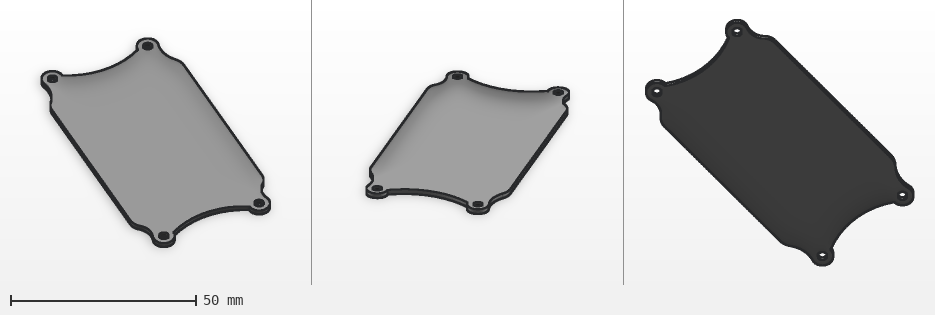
import cadquery as cq
import math

length = 74.0
width = 39.7
thickness = 1.5
waist_length = 62.0

ear_radius = 2.95
ear_y = 14.35
hole_diameter = 2.5
ear_x = length / 2 - ear_radius

left_edge_end = 22.9
left_shoulder_radius = 5.0
left_neck_radius = 8.0
right_edge_end = 24.7
right_shoulder_radius = 4.0
right_neck_radius = 5.0


def point_towards(start, target, distance):
    """Point at the given distance from start, on the line to target."""
    ratio = distance / math.dist(start, target)
    return (
        start[0] + ratio * (target[0] - start[0]),
        start[1] + ratio * (target[1] - start[1]),
    )


def arc_middle(center, start, end, radius):
    """Middle of the shorter arc between two points on a circle."""
    chord_middle = ((start[0] + end[0]) / 2, (start[1] + end[1]) / 2)
    return point_towards(center, chord_middle, radius)


def quarter_plate(edge_end, shoulder_radius, neck_radius):
    """Quarter of the plate in +X +Y, with a tangent S-blend into its ear."""
    ear = (ear_x, ear_y)
    shoulder = (edge_end, width / 2 - shoulder_radius)

    to_shoulder = neck_radius + shoulder_radius
    to_ear = neck_radius + ear_radius
    span = math.dist(shoulder, ear)
    along = (to_shoulder**2 - to_ear**2 + span**2) / (2 * span)
    across = math.sqrt(to_shoulder**2 - along**2)
    foot = point_towards(shoulder, ear, along)
    neck = (
        foot[0] + across * (shoulder[1] - ear[1]) / span,
        foot[1] + across * (ear[0] - shoulder[0]) / span,
    )

    edge_point = (edge_end, width / 2)
    shoulder_point = point_towards(shoulder, neck, shoulder_radius)
    neck_point = point_towards(ear, neck, ear_radius)
    return (
        cq.Workplane("XY")
        .lineTo(0, width / 2)
        .lineTo(*edge_point)
        .threePointArc(arc_middle(shoulder, edge_point, shoulder_point, shoulder_radius), shoulder_point)
        .threePointArc(arc_middle(neck, shoulder_point, neck_point, neck_radius), neck_point)
        .threePointArc((ear_x + ear_radius, ear_y), (ear_x, ear_y - ear_radius))
        .lineTo(ear_x, 0)
        .close()
        .extrude(thickness)
    )


def end_hollow(side):
    """Cutter for the hollow between the two ears at one end."""
    corner_y = ear_y - ear_radius
    return (
        cq.Workplane("XY")
        .moveTo(side * ear_x, -corner_y)
        .threePointArc((side * waist_length / 2, 0), (side * ear_x, corner_y))
        .close()
        .extrude(thickness)
    )


right_quarter = quarter_plate(right_edge_end, right_shoulder_radius, right_neck_radius)
left_quarter = quarter_plate(left_edge_end, left_shoulder_radius, left_neck_radius).mirror("YZ")
half_plate = right_quarter.union(left_quarter)
plate = half_plate.union(half_plate.mirror("XZ")).clean()

for side in (-1, 1):
    plate = plate.cut(end_hollow(side))

holes = (
    cq.Workplane("XY")
    .rarray(2 * ear_x, 2 * ear_y, 2, 2)
    .circle(hole_diameter / 2)
    .extrude(thickness)
)
result = plate.cut(holes)